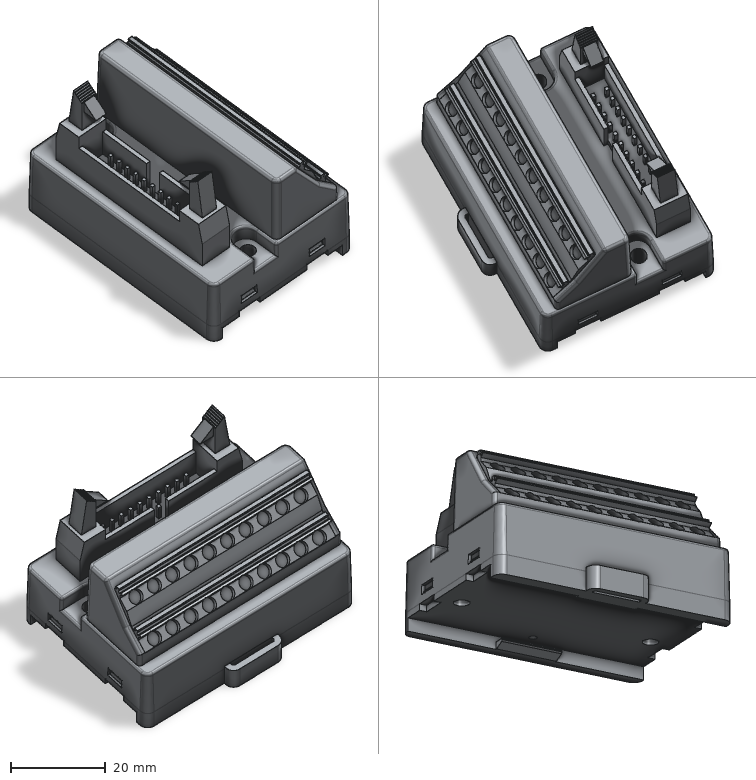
import cadquery as cq
import math

OVERLAP = 0.6

BODY_X = 57.2
BODY_Y = 41.3
SEAM_Z = 4.5
BODY_TOP = 16.6
BODY_CORNER = 2.1
COVER_DRAFT = 1.5
BODY_ROUND = 0.65

CHANNEL_TOP = 3.05
CHANNEL_BACK = 17.4
CHANNEL_FRONT = -18.0
SKIRT_NOTCH_Y = 6.1
SKIRT_NOTCH_DEPTH = 1.7
SIDE_FEATURE_Y = 10.0

HANDLE_X = 14.5
HANDLE_REACH = 2.65
HANDLE_Z = 5.3
HANDLE_BAR = 1.55
HANDLE_CORNER = 2.05
HANDLE_INNER_CORNER = 0.6
HOOK_Z = 1.65
BACK_HOOK_REACH = 1.7
FRONT_HOOK_REACH = 2.75
FRONT_HOOK_BEVEL = 0.3
FRONT_HOOK_LIP_Z = 1.0
DETENT_Y = -14.9
DETENT_RADIUS = 0.9
DETENT_DROP = 0.35

WINDOW_Y = 4.65
WINDOW_BOTTOM = 6.4
WINDOW_Z = 2.2
WINDOW_DEPTH = 0.9
TAB_Y = 4.05
TAB_BOTTOM = 6.9
TAB_TOP = 8.05
TAB_FACE_GAP = 0.35

SCREW_X = 22.95
SCREW_Y = -5.0
SCREW_DIAMETER = 3.5
POCKET_ARC_X = 22.35
POCKET_RADIUS = 3.1
POCKET_FLOOR = 13.05

HOUSING_X = 55.35
HOUSING_BACK = 17.15
HOUSING_FRONT = -1.25
HOUSING_TOP = 33.55
HOUSING_DRAFT = 1.3
HOUSING_CORNER = 1.5
HOUSING_ROUND = 0.85
SLOPE_FOOT = (HOUSING_BACK, 19.9)
SLOPE_KNEE = (12.05, 24.4)
SLOPE_HEAD = (5.3, HOUSING_TOP)

STRIP_X = 52.05
STRIP_LOWER_FACE = (14.85, 22.0)
STRIP_RIDGE_END = (12.65, 24.35)
STRIP_BULGE_TOP = (11.0, 27.8)
STRIP_HEAD = (6.85, 31.35)
STRIP_ROOT_Y = 11.45
RIDGE_STEP = (-6.2, 7.95)
WIRE_HOLE_DIAMETER = 3.3
WIRE_HOLE_DEPTH = 1.15
WIRE_HOLE_BACK = 1.25
WIRE_FACE_ANGLE = 41.0
WIRE_COUNT = 10
WIRE_SPAN = 45.0

HEADER_X = 44.4
HEADER_TOP_X = 42.1
HEADER_Y = 8.05
HEADER_MID_Y = -13.55
HEADER_MID_X = -0.2
HEADER_TOP = 28.2
HEADER_SHOULDER = 23.1
SOCKET_X = 30.4
SOCKET_WALL = 1.05
SOCKET_WALL_TOP = 24.95
SOCKET_FLOOR = 18.3
KEY_X = 3.9
PIN_SIZE = 0.8
PIN_TOP = 21.75
PIN_COLUMNS = 10
PIN_SPAN = 22.75
PIN_ROW_GAP = 3.25

LATCH_Y = 4.2
LATCH_HOOK_Y = 3.1
LATCH_INNER_X = 16.25
LATCH_FOOT_X = 20.25
LATCH_TIP = (18.8, 38.25)
LATCH_NOSE = (12.6, 33.3)
GRIP_TEETH = 6
GRIP_DEPTH = 0.25


def box(size_x, size_y, z_low, z_high, mid_x=0.0, mid_y=0.0):
    """Box centred on (mid_x, mid_y) between two heights."""
    blank = cq.Workplane("XY", origin=(mid_x, mid_y, z_low))
    return blank.rect(size_x, size_y).extrude(z_high - z_low)


def prism_along_x(points, length):
    """Extrude a (Y, Z) outline along X, centred on X = 0."""
    outline = cq.Workplane("YZ").polyline(points).close()
    return outline.extrude(length / 2, both=True)


def prism_along_y(points, length, mid_y):
    """Extrude an (X, Z) outline along Y, centred on mid_y."""
    outline = cq.Workplane("XZ", origin=(0, mid_y, 0)).polyline(points).close()
    return outline.extrude(length / 2, both=True)


def both_ends(solid):
    """The solid together with its mirror image across X = 0."""
    return solid.union(solid.mirror("YZ"))


def spread(index, count, span):
    """Position of one of count evenly spaced items over a span centred on zero."""
    return (index / (count - 1) - 0.5) * span


def make_base():
    """Base with an open channel underneath and notched side skirts."""
    base = box(BODY_X, BODY_Y, 0, SEAM_Z).edges("|Z").fillet(BODY_CORNER)
    channel_y = CHANNEL_BACK - CHANNEL_FRONT
    channel_mid = (CHANNEL_BACK + CHANNEL_FRONT) / 2
    base = base.cut(box(BODY_X, channel_y, 0, CHANNEL_TOP, mid_y=channel_mid))
    for y in (-SIDE_FEATURE_Y, SIDE_FEATURE_Y):
        notch_x = BODY_X / 2 - SKIRT_NOTCH_DEPTH / 2
        notch = box(SKIRT_NOTCH_DEPTH, SKIRT_NOTCH_Y, CHANNEL_TOP, SEAM_Z, notch_x, y)
        base = base.cut(both_ends(notch))
    return base


def make_cover():
    """Drafted cover with rounded top and two side-opening screw pockets."""
    outline = cq.Sketch().rect(BODY_X, BODY_Y).vertices().fillet(BODY_CORNER)
    cover = cq.Workplane("XY", origin=(0, 0, SEAM_Z)).placeSketch(outline)
    cover = cover.extrude(BODY_TOP - SEAM_Z, taper=COVER_DRAFT)

    pocket_plane = cq.Workplane("XY", origin=(0, SCREW_Y, POCKET_FLOOR))
    pocket = (
        pocket_plane.moveTo(BODY_X, POCKET_RADIUS)
        .lineTo(POCKET_ARC_X, POCKET_RADIUS)
        .threePointArc((POCKET_ARC_X - POCKET_RADIUS, 0), (POCKET_ARC_X, -POCKET_RADIUS))
        .lineTo(BODY_X, -POCKET_RADIUS)
        .close()
        .extrude(BODY_TOP)
    )
    cover = cover.cut(both_ends(pocket))

    rim = cover.faces(">Z").edges()
    mouth_span = 2 * POCKET_RADIUS + BODY_ROUND
    for side in (-1, 1):
        inner = (side * (BODY_X / 2 - 2 * OVERLAP), SCREW_Y - mouth_span / 2, POCKET_FLOOR - OVERLAP)
        outer = (side * BODY_X, SCREW_Y + mouth_span / 2, BODY_TOP + OVERLAP)
        rim = rim.add(cover.edges(cq.selectors.BoxSelector(inner, outer)))
    return rim.fillet(BODY_ROUND)


def make_screw_holes():
    """Through holes in the floors of the screw pockets."""
    hole = cq.Workplane("XY").center(SCREW_X, SCREW_Y).circle(SCREW_DIAMETER / 2)
    hole = hole.extrude(BODY_TOP)
    return both_ends(hole)


def cut_snap_windows(body):
    """Recess each end face at two places and leave a wedge-shaped catch inside."""
    side_x = BODY_X / 2
    window_x = side_x - WINDOW_DEPTH / 2
    root_x = side_x - WINDOW_DEPTH - OVERLAP
    nose_x = side_x - TAB_FACE_GAP
    for y in (-SIDE_FEATURE_Y, SIDE_FEATURE_Y):
        window = box(WINDOW_DEPTH, WINDOW_Y, WINDOW_BOTTOM, WINDOW_BOTTOM + WINDOW_Z, window_x, y)
        body = body.cut(both_ends(window))
        wedge = [(root_x, TAB_BOTTOM), (nose_x, TAB_BOTTOM), (root_x, TAB_TOP)]
        body = body.union(both_ends(prism_along_y(wedge, TAB_Y, y)))
    return body


def make_handle():
    """Release handle loop behind the body."""
    back = BODY_Y / 2
    root = CHANNEL_BACK
    length = back + HANDLE_REACH - root
    loop = box(HANDLE_X, length, 0, HANDLE_Z, mid_y=root + length / 2)
    loop = loop.edges("|Z and >Y").fillet(HANDLE_CORNER)
    gap_y = HANDLE_REACH - HANDLE_BAR
    gap = box(HANDLE_X - 2 * HANDLE_BAR, gap_y, 0, HANDLE_Z, mid_y=back + gap_y / 2)
    gap = gap.edges("|Z and >Y").fillet(HANDLE_INNER_CORNER)
    return loop.cut(gap)


def make_rail_hooks():
    """Hooks that grip the rail: chamfered at the back, sloped at the front."""
    back_tip = CHANNEL_BACK - BACK_HOOK_REACH
    chamfer = BACK_HOOK_REACH / 2
    back_hook = [
        (CHANNEL_BACK + OVERLAP, 0),
        (back_tip + chamfer, 0),
        (back_tip, chamfer),
        (back_tip, HOOK_Z),
        (CHANNEL_BACK + OVERLAP, HOOK_Z),
    ]
    front_tip = CHANNEL_FRONT + FRONT_HOOK_REACH
    front_hook = [
        (CHANNEL_FRONT - OVERLAP, 0),
        (CHANNEL_FRONT + FRONT_HOOK_BEVEL, 0),
        (front_tip - FRONT_HOOK_BEVEL, FRONT_HOOK_LIP_Z),
        (front_tip, (FRONT_HOOK_LIP_Z + HOOK_Z) / 2),
        (front_tip - FRONT_HOOK_BEVEL, HOOK_Z),
        (CHANNEL_FRONT - OVERLAP, HOOK_Z),
    ]
    return prism_along_x(back_hook, HANDLE_X).union(prism_along_x(front_hook, HANDLE_X))


def make_detent():
    """Shallow ball under the channel roof."""
    ball_radius = (DETENT_RADIUS**2 + DETENT_DROP**2) / (2 * DETENT_DROP)
    ball = cq.Workplane("XY").sphere(ball_radius)
    ball = ball.translate((0, DETENT_Y, CHANNEL_TOP - DETENT_DROP + ball_radius))
    return ball.intersect(box(BODY_X, BODY_Y, 0, SEAM_Z))


def make_housing():
    """Drafted terminal housing with a two-part slope at the back."""
    depth = HOUSING_BACK - HOUSING_FRONT
    mid_y = (HOUSING_BACK + HOUSING_FRONT) / 2
    housing = cq.Workplane("XY", origin=(0, mid_y, BODY_TOP)).rect(HOUSING_X, depth)
    housing = housing.extrude(HOUSING_TOP - BODY_TOP, taper=HOUSING_DRAFT)
    front_corners = cq.selectors.BoxSelector(
        (-HOUSING_X, HOUSING_FRONT - OVERLAP, SLOPE_FOOT[1]),
        (HOUSING_X, HOUSING_FRONT + HOUSING_CORNER, SLOPE_HEAD[1] - OVERLAP),
    )
    housing = housing.edges(front_corners).fillet(HOUSING_CORNER)
    above = HOUSING_TOP + OVERLAP
    beyond = HOUSING_BACK + OVERLAP
    removed = [
        (beyond, SLOPE_FOOT[1]),
        SLOPE_FOOT,
        SLOPE_KNEE,
        SLOPE_HEAD,
        (SLOPE_HEAD[0], above),
        (beyond, above),
    ]
    housing = housing.cut(prism_along_x(removed, HOUSING_X + OVERLAP))
    rim = housing.faces(">Z").edges()
    for side in (-1, 1):
        inner = (side * (HOUSING_X / 2 - HOUSING_ROUND), SLOPE_HEAD[0] + OVERLAP, BODY_TOP + OVERLAP)
        outer = (side * HOUSING_X, beyond, HOUSING_TOP - OVERLAP)
        rim = rim.add(housing.edges(cq.selectors.BoxSelector(inner, outer)))
    return rim.fillet(HOUSING_ROUND)


def make_terminal_strip():
    """Terminal strip with two forked ridges and a bulge between them."""
    ridge = [
        STRIP_LOWER_FACE,
        (STRIP_LOWER_FACE[0], 22.9),
        (15.8, 23.7),
        (15.25, 23.9),
        (14.7, 23.45),
        (14.35, 23.85),
        (14.7, 24.4),
        (14.6, 24.7),
        (13.55, 24.7),
        (13.45, 24.5),
        (13.65, 23.95),
        (13.2, 23.85),
    ]
    step_y, step_z = RIDGE_STEP
    upper_ridge = [(y + step_y, z + step_z) for y, z in ridge]
    outline = [SLOPE_FOOT, *ridge, STRIP_RIDGE_END, STRIP_BULGE_TOP, *upper_ridge]
    outline += [STRIP_HEAD, (STRIP_ROOT_Y, SLOPE_FOOT[1])]
    return prism_along_x(outline, STRIP_X)


def make_wire_holes():
    """Two rows of shallow round pockets square to the wire faces."""
    angle = math.radians(WIRE_FACE_ANGLE)
    rise = WIRE_HOLE_BACK * math.tan(angle)
    normal = cq.Vector(0, math.sin(angle), math.cos(angle))
    holes = cq.Workplane("XY")
    for face_y, face_z in (SLOPE_FOOT, STRIP_BULGE_TOP):
        for i in range(WIRE_COUNT):
            x = spread(i, WIRE_COUNT, WIRE_SPAN)
            mouth = cq.Vector(x, face_y - WIRE_HOLE_BACK, face_z + rise)
            start = mouth - normal * WIRE_HOLE_DEPTH
            drill = cq.Solid.makeCylinder(WIRE_HOLE_DIAMETER / 2, WIRE_HOLE_DEPTH + OVERLAP, start, normal)
            holes = holes.add(drill)
    return holes.combine()


def make_header():
    """Box header: open socket between two tall end blocks, keyed at the back."""
    half, half_top, socket_half = HEADER_X / 2, HEADER_TOP_X / 2, SOCKET_X / 2
    outline = [
        (-half, BODY_TOP),
        (half, BODY_TOP),
        (half, HEADER_SHOULDER),
        (half_top, HEADER_TOP),
        (socket_half, HEADER_TOP),
        (socket_half, SOCKET_WALL_TOP),
        (-socket_half, SOCKET_WALL_TOP),
        (-socket_half, HEADER_TOP),
        (-half_top, HEADER_TOP),
        (-half, HEADER_SHOULDER),
    ]
    header = prism_along_y(outline, HEADER_Y, HEADER_MID_Y)
    socket_y = HEADER_Y - 2 * SOCKET_WALL
    header = header.cut(box(SOCKET_X, socket_y, SOCKET_FLOOR, HEADER_TOP, mid_y=HEADER_MID_Y))
    key_y = HEADER_MID_Y + HEADER_Y / 2 - SOCKET_WALL / 2
    header = header.cut(box(KEY_X, SOCKET_WALL, BODY_TOP, HEADER_TOP, mid_y=key_y))
    for i in range(PIN_COLUMNS):
        x = spread(i, PIN_COLUMNS, PIN_SPAN)
        for row in (-0.5, 0.5):
            y = HEADER_MID_Y + row * PIN_ROW_GAP
            header = header.union(box(PIN_SIZE, PIN_SIZE, SOCKET_FLOOR - OVERLAP, PIN_TOP, x, y))
    return header


def make_latches():
    """Ejector latches with a serrated thumb slope and an inward hook."""
    tip_x, tip_z = LATCH_TIP
    nose_x, nose_z = LATCH_NOSE
    slope = (tip_z - nose_z) / (tip_x - nose_x)
    inner_z = tip_z - slope * (tip_x - LATCH_INNER_X)
    tooth_x = (tip_x - LATCH_INNER_X) / GRIP_TEETH

    post = [
        (LATCH_INNER_X, HEADER_TOP - OVERLAP),
        (LATCH_FOOT_X, HEADER_TOP - OVERLAP),
        (LATCH_FOOT_X, HEADER_TOP),
    ]
    for i in range(GRIP_TEETH):
        x = tip_x - i * tooth_x
        z = tip_z - slope * (tip_x - x)
        post += [(x, z), (x - tooth_x / 2, z - slope * tooth_x / 2 - GRIP_DEPTH)]
    post.append((LATCH_INNER_X, inner_z))
    latch = prism_along_y(post, LATCH_Y, HEADER_MID_Y)

    root_x = LATCH_INNER_X + OVERLAP
    hook = [(root_x, nose_z), LATCH_NOSE, (LATCH_INNER_X, inner_z), (root_x, inner_z)]
    latch = latch.union(prism_along_y(hook, LATCH_HOOK_Y, HEADER_MID_Y))
    return both_ends(latch)


body = make_base().union(make_cover())
body = cut_snap_windows(body).cut(make_screw_holes())
body = body.union(make_handle()).union(make_rail_hooks()).union(make_detent())
terminals = make_housing().union(make_terminal_strip()).cut(make_wire_holes())
connector = make_header().union(make_latches()).translate((HEADER_MID_X, 0, 0))
result = body.union(terminals).union(connector)